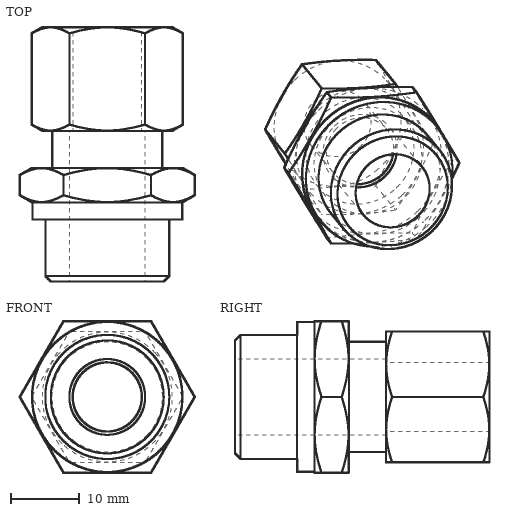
import cadquery as cq
import math

COLLAR_START = 9.0
HEX_START = 11.5
HEX_END = 16.5
NUT_START = 21.9
LENGTH = 36.9

STUD_DIAMETER = 18.0
COLLAR_DIAMETER = 21.77
NECK_DIAMETER = 16.0
BODY_BORE_DIAMETER = 11.0
NUT_BORE_DIAMETER = 10.0
BODY_HEX_FLATS = 22.0
NUT_HEX_FLATS = 19.0

STUD_CHAMFER = 0.8
HEX_CHAMFER_ANGLE = 30.0
FLAT_CLEARANCE = 0.07

Y_OFFSET = -LENGTH / 2


def section_plane(start):
    """Plane across the axis whose normal points along +Y."""
    return cq.Workplane(cq.Plane((0, Y_OFFSET + start, 0), xDir=(1, 0, 0), normal=(0, 1, 0)))


def cylinder(diameter, start, end):
    return section_plane(start).circle(diameter / 2).extrude(end - start)


def chamfered_hex(flats, start, end):
    """Hexagon with corners on X, both ends turned to a shallow cone."""
    corner_radius = flats / 2 / math.cos(math.pi / 6)
    face_radius = flats / 2 - FLAT_CLEARANCE
    drop = (corner_radius - face_radius) * math.tan(math.radians(HEX_CHAMFER_ANGLE))
    low = Y_OFFSET + start
    high = Y_OFFSET + end
    prism = section_plane(start).polygon(6, 2 * corner_radius).extrude(end - start)
    envelope = (
        cq.Workplane("XY")
        .polyline([
            (0, low),
            (face_radius, low),
            (corner_radius, low + drop),
            (corner_radius, high - drop),
            (face_radius, high),
            (0, high),
        ])
        .close()
        .revolve(360, (0, 0, 0), (0, 1, 0))
    )
    return prism.intersect(envelope)


stud = cylinder(STUD_DIAMETER, 0, COLLAR_START).faces("<Y").chamfer(STUD_CHAMFER)
collar = cylinder(COLLAR_DIAMETER, COLLAR_START, HEX_START)
body_hex = chamfered_hex(BODY_HEX_FLATS, HEX_START, HEX_END)
neck = cylinder(NECK_DIAMETER, HEX_END, NUT_START)

nut = chamfered_hex(NUT_HEX_FLATS, NUT_START, LENGTH)

body_bore = cylinder(BODY_BORE_DIAMETER, 0, NUT_START)
nut_bore = cylinder(NUT_BORE_DIAMETER, NUT_START, LENGTH)

result = stud.union(collar).union(body_hex).union(neck).union(nut)
result = result.cut(body_bore).cut(nut_bore)